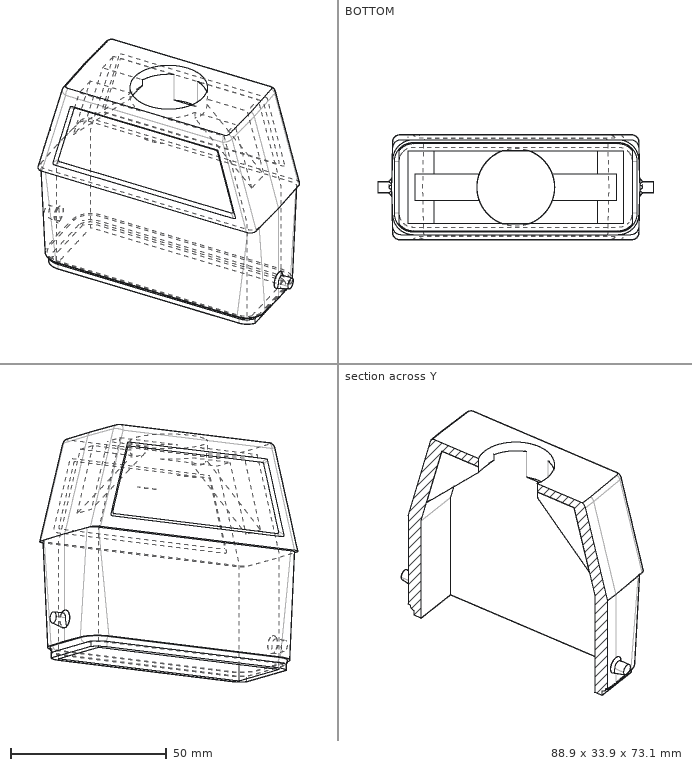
import cadquery as cq
import math

lip_top = 1.8
band_top = 3.4
shoulder_z = 38.6
top_z = 73.1

half_length = 40.0
end_ridge = 0.4
upper_half_width = 16.935
lower_half_width = 15.3
end_slope = 15.0

hood_radius = 2.3
rounding_cut = 0.3

shoulder_corner = 2.7
bottom_corner = 6.7

band_half_length = 39.1
band_half_width = 14.4
band_corner = 6.1
band_rounding = 1.5
lip_half_length = 37.6
lip_inset = 0.4

panel_bottom_z = 42.5
panel_top_z = 67.4
panel_bottom_half = 33.4
panel_top_half = 26.85
panel_depth = 1.1
panel_wall_angle = 45.0
panel_corner = 0.9

pin_z = 10.7
pin_radius = 1.82
pin_tip = 44.45
pin_root = 40.9
collar_radius = 2.85
support_low_z = 7.7
support_root = 39.1
support_root_depth = 3.5

entry_radius = 25.0 / 2
entry_depth = 13.5
cavity_half_width = 11.7
cavity_half_length = 34.7
roof = 3.5
rib_width = 8.5
rib_depth = 5.7
rib_flat_half_length = 11.8


def outline(z, ridge_x, half_width, corner):
    """Closed outline with rounded corners and slightly peaked ends."""
    corner_x = ridge_x - end_ridge
    arc_x = corner_x - corner
    arc_y = half_width - corner
    reach = corner * math.sqrt(0.5)
    mid_x = arc_x + reach
    mid_y = arc_y + reach
    return (
        cq.Workplane("XY", origin=(0, 0, z))
        .moveTo(ridge_x, 0)
        .lineTo(corner_x, arc_y)
        .threePointArc((mid_x, mid_y), (arc_x, half_width))
        .lineTo(-arc_x, half_width)
        .threePointArc((-mid_x, mid_y), (-corner_x, arc_y))
        .lineTo(-ridge_x, 0)
        .lineTo(-corner_x, -arc_y)
        .threePointArc((-mid_x, -mid_y), (-arc_x, -half_width))
        .lineTo(arc_x, -half_width)
        .threePointArc((mid_x, -mid_y), (corner_x, -arc_y))
        .close()
        .val()
    )


def straight_loft(low, high):
    return cq.Workplane(obj=cq.Solid.makeLoft([low, high], True))


def rounded_block(half_x, half_y, corner, z_low, z_high):
    return (
        cq.Workplane("XY", origin=(0, 0, z_low))
        .rect(2 * half_x, 2 * half_y)
        .extrude(z_high - z_low)
        .edges("|Z")
        .fillet(corner)
    )


def peaked_hexagon(z, ridge_x, half_width):
    """Sharp-cornered outline with slightly peaked ends."""
    corner_x = ridge_x - end_ridge
    return (
        cq.Workplane("XY", origin=(0, 0, z))
        .polyline([
            (ridge_x, 0),
            (corner_x, half_width),
            (-corner_x, half_width),
            (-ridge_x, 0),
            (-corner_x, -half_width),
            (corner_x, -half_width),
        ])
        .close()
        .val()
    )


def upper_hood():
    """Trapezoid hood with rounded corners, its rounded rim trimmed by the flat top."""
    full_top = top_z + rounding_cut
    lean = (full_top - shoulder_z) * math.tan(math.radians(end_slope))
    hood = straight_loft(
        peaked_hexagon(shoulder_z, half_length, upper_half_width),
        peaked_hexagon(full_top, half_length - lean, upper_half_width),
    )
    for side in (">Y", "<Y"):
        hood = hood.faces(side).edges("not #Z").fillet(hood_radius)
    hood = hood.faces(">Z").edges().fillet(hood_radius)
    trim = (
        cq.Workplane("XY", origin=(0, 0, top_z))
        .rect(2 * half_length, 2 * upper_half_width)
        .extrude(rounding_cut)
    )
    return hood.cut(trim)


def lower_body():
    return straight_loft(
        outline(band_top, half_length, lower_half_width, bottom_corner),
        outline(shoulder_z, half_length, lower_half_width, shoulder_corner),
    )


def band_and_lip():
    band = rounded_block(band_half_length, band_half_width, band_corner, lip_top, band_top)
    band = band.faces("<Z").edges().fillet(band_rounding)
    lip = rounded_block(
        band_half_length - lip_inset, band_half_width - lip_inset, band_corner - lip_inset, 0, lip_top
    )
    ends = cq.Workplane("XY").rect(2 * lip_half_length, 2 * band_half_width).extrude(lip_top)
    return band.union(lip.intersect(ends))


def panel_recess():
    """Trapezoid recess with slanted walls on the -Y side."""
    return (
        cq.Workplane("XZ", origin=(0, -upper_half_width, 0))
        .polyline([
            (-panel_bottom_half, panel_bottom_z),
            (panel_bottom_half, panel_bottom_z),
            (panel_top_half, panel_top_z),
            (-panel_top_half, panel_top_z),
        ])
        .close()
        .extrude(-panel_depth, taper=panel_wall_angle)
        .edges("not #Y")
        .fillet(panel_corner)
    )


def half_ellipse(x, depth):
    """Lower half of an ellipse as wide as the pin, hanging from the pin axis."""
    return (
        cq.Workplane("YZ", origin=(x, 0, pin_z))
        .ellipseArc(pin_radius, depth, 180, 360, startAtCurrent=False)
        .close()
        .val()
    )


def locking_pin():
    """Pin on the +X end, with a conical collar and a sloping support below."""
    pin = (
        cq.Workplane("XZ")
        .moveTo(cavity_half_length + 0.9, pin_z)
        .lineTo(pin_tip, pin_z)
        .lineTo(pin_tip, pin_z + pin_radius)
        .lineTo(pin_root, pin_z + pin_radius)
        .lineTo(half_length, pin_z + collar_radius)
        .lineTo(cavity_half_length + 0.9, pin_z + collar_radius)
        .close()
        .revolve(360, (0, pin_z, 0), (1, pin_z, 0))
    )
    below = cq.Workplane("XY").rect(2 * pin_tip, 2 * collar_radius).extrude(support_low_z)
    support = straight_loft(
        half_ellipse(support_root, support_root_depth),
        half_ellipse(pin_tip, pin_radius),
    )
    return pin.union(support).cut(below)


def cavity():
    """Inside space open at the bottom, with end walls leaning like the outer ones."""
    roof_z = top_z - roof
    lean = (roof_z - shoulder_z) * math.tan(math.radians(end_slope))
    return (
        cq.Workplane("XZ", origin=(0, cavity_half_width, 0))
        .polyline([
            (-cavity_half_length, 0),
            (cavity_half_length, 0),
            (cavity_half_length, shoulder_z),
            (cavity_half_length - lean, roof_z),
            (lean - cavity_half_length, roof_z),
            (-cavity_half_length, shoulder_z),
        ])
        .close()
        .extrude(2 * cavity_half_width)
    )


def ceiling_rib():
    """Rib along the middle of the ceiling, deepening at 45 degrees towards each end."""
    start_z = top_z - rib_depth
    end_z = start_z - (cavity_half_length - rib_flat_half_length)
    return (
        cq.Workplane("XZ", origin=(0, rib_width / 2, 0))
        .polyline([
            (-cavity_half_length, top_z),
            (-cavity_half_length, end_z),
            (-rib_flat_half_length, start_z),
            (rib_flat_half_length, start_z),
            (cavity_half_length, end_z),
            (cavity_half_length, top_z),
        ])
        .close()
        .extrude(rib_width)
    )


pin = locking_pin()
recess = panel_recess()
cable_entry = cq.Workplane("XY", origin=(0, 0, top_z)).circle(entry_radius).extrude(-entry_depth)

result = (
    upper_hood()
    .union(lower_body())
    .union(band_and_lip())
    .union(pin)
    .union(pin.mirror("YZ"))
    .cut(recess)
    .cut(recess.mirror("XZ"))
    .cut(cavity().cut(ceiling_rib()))
    .cut(cable_entry)
)